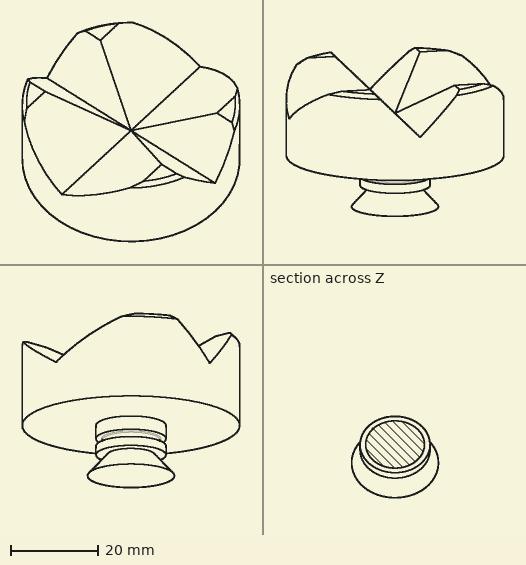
import cadquery as cq
import math

JAW_RADIUS = 25.0
JAW_HEIGHT = 20.0
RIM_CHAMFER = 1.0
GROOVE_DEPTH = 10.0
WIDE_FLANK_ANGLE = 30.0
STEEP_FLANK_ANGLE = 45.0

STEM_RADIUS = 8.05
NECK_RADIUS = 6.6
NECK_FILLET = 0.25
SHOULDER_HEIGHT = 3.15
NECK_HEIGHT = 1.75
COLLAR_HEIGHT = 2.1
FOOT_HEIGHT = 5.0
FOOT_TOP_RADIUS = 5.45
FOOT_BOTTOM_RADIUS = 10.0


def v_groove(plane, flank_angle):
    """Triangular prism through the jaw, running along the normal of a vertical plane."""
    half_width = GROOVE_DEPTH / math.tan(math.radians(flank_angle))
    floor = JAW_HEIGHT - GROOVE_DEPTH
    outline = [(0, floor), (half_width, JAW_HEIGHT), (-half_width, JAW_HEIGHT)]
    return cq.Workplane(plane).polyline(outline).close().extrude(JAW_RADIUS, both=True)


def make_jaw():
    block = cq.Workplane("XY").circle(JAW_RADIUS).extrude(JAW_HEIGHT)
    block = block.faces(">Z").edges().chamfer(RIM_CHAMFER)
    groove_along_y = v_groove("XZ", WIDE_FLANK_ANGLE)
    groove_along_x = v_groove("YZ", STEEP_FLANK_ANGLE)
    return block.cut(groove_along_y).cut(groove_along_x)


def make_stud():
    """Revolve half of the stud's section about Z, from the jaw's underside down."""
    neck_top = -SHOULDER_HEIGHT
    neck_bottom = neck_top - NECK_HEIGHT
    foot_top = neck_bottom - COLLAR_HEIGHT
    foot_bottom = foot_top - FOOT_HEIGHT
    fillet_edge = NECK_RADIUS + NECK_FILLET
    section = (
        cq.Workplane("XZ")
        .lineTo(STEM_RADIUS, 0)
        .lineTo(STEM_RADIUS, neck_top)
        .lineTo(fillet_edge, neck_top)
        .radiusArc((NECK_RADIUS, neck_top - NECK_FILLET), -NECK_FILLET)
        .lineTo(NECK_RADIUS, neck_bottom + NECK_FILLET)
        .radiusArc((fillet_edge, neck_bottom), -NECK_FILLET)
        .lineTo(STEM_RADIUS, neck_bottom)
        .lineTo(STEM_RADIUS, foot_top)
        .lineTo(FOOT_TOP_RADIUS, foot_top)
        .lineTo(FOOT_BOTTOM_RADIUS, foot_bottom)
        .lineTo(0, foot_bottom)
        .close()
    )
    return section.revolve(360, (0, 0, 0), (0, 1, 0))


jaw = make_jaw()
stud = make_stud()

result = cq.Compound.makeCompound([jaw.val(), stud.val()])